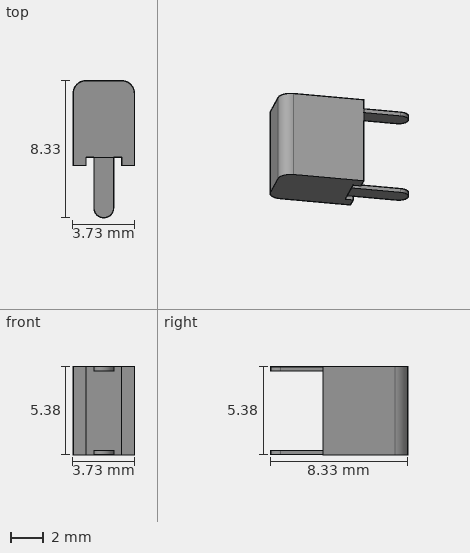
import cadquery as cq

total_length = 8.33
body_width = 3.73
body_height = 5.38

body_length = 5.16
back_corner_radius = 0.79
channel_width = 2.16
channel_depth = 0.5

pin_width = 1.21
pin_thickness = 0.26
pin_inset = 0.025

body_front = total_length - body_length
channel_floor = body_front + channel_depth
pin_tip_radius = pin_width / 2


def make_body():
    """Block with rounded back corners and a full-height channel in its front face."""
    block = (
        cq.Workplane("XY")
        .box(body_width, body_length, body_height, centered=(True, False, False))
        .translate((0, body_front, 0))
        .edges("|Z and >Y")
        .fillet(back_corner_radius)
    )
    channel = (
        cq.Workplane("XY")
        .box(channel_width, channel_depth, body_height, centered=(True, False, False))
        .translate((0, body_front, 0))
    )
    return block.cut(channel)


def make_pin(bottom):
    """Flat pin with a round tip, standing out from the channel floor."""
    return (
        cq.Workplane("XY", origin=(0, 0, bottom))
        .moveTo(-pin_tip_radius, channel_floor)
        .lineTo(-pin_tip_radius, pin_tip_radius)
        .threePointArc((0, 0), (pin_tip_radius, pin_tip_radius))
        .lineTo(pin_tip_radius, channel_floor)
        .close()
        .extrude(pin_thickness)
    )


result = make_body()
for pin_bottom in (pin_inset, body_height - pin_inset - pin_thickness):
    result = result.union(make_pin(pin_bottom))